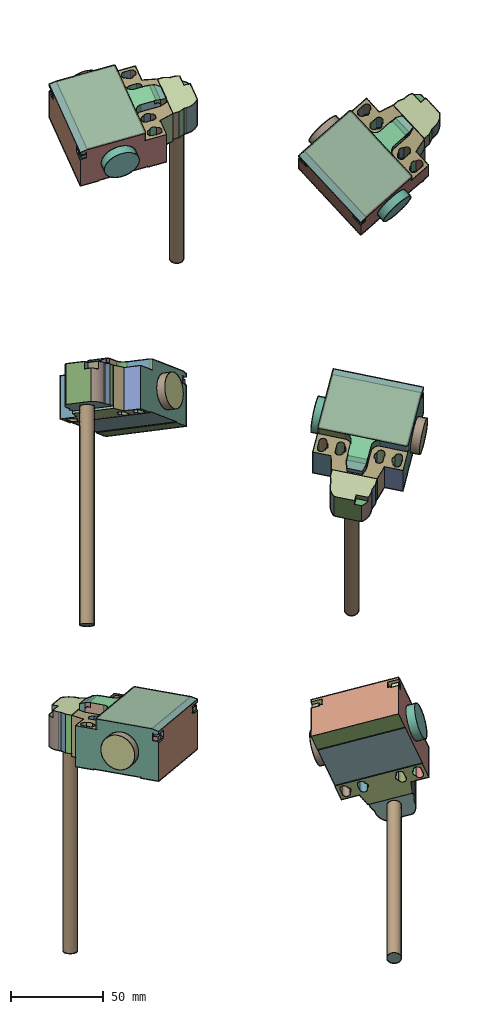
import cadquery as cq

HOUSING_WIDTH = 50.0
HOUSING_HEIGHT = 30.0
BODY_DEPTH = 37.7
FLANGE_TOP = 24.0
FLANGE_DEPTH = 49.4
NECK_BASE_WIDTH = 29.5
NECK_END_WIDTH = 25.3
NECK_DEPTH = 57.5
STEP_CORNER_RADIUS = 1.0

FRONT_BEVEL_DEPTH = 4.0
FRONT_BEVEL_DROP = 0.9
RIM_INSET = 0.07
RIM_DROP = 0.6

TONGUE_WIDTH = 11.2
TONGUE_ROOT_RADIUS = 4.0
TONGUE_TAPER_START = 52.8
TONGUE_END = 56.7
TONGUE_END_WIDTH = 8.5
TONGUE_SLOPE_START = 50.3
TONGUE_KNEE_DROP = 0.6
TONGUE_END_DROP = 2.5
GRIP_START = 49.4
GRIP_CORNER = 51.5
GRIP_HEIGHT = 2.7
GRIP_LOW_HEIGHT = 4.0
GRIP_RECESS = 0.1

SLOT_WIDTH = 4.3
SLOT_LENGTH = 8.1
SLOT_Y = 44.0
SLOT_XS = (11.0, 21.0)
BULGE_OFFSET = 1.0

BOSS_DIAMETER = 20.0
BOSS_SPAN = 60.0
BOSS_LENGTH = (BOSS_SPAN - HOUSING_WIDTH) / 2
BOSS_Y = 22.0
BOSS_Z = 15.0

RECESS_START = 10.8
RECESS_END = 38.6
RECESS_DEPTH = 0.5

NOTCH_WIDTH = 6.3
NOTCH_DEPTH = 3.6
NOTCH_TOP = HOUSING_HEIGHT - 2.7
NOTCH_BOTTOM = HOUSING_HEIGHT - 6.9
LIP_TOOTH_DROP = 0.9
LIP_TOOTH_Y = 2.7
LATCH_WIDTH = 4.3
LATCH_SETBACK = 0.6
LATCH_TOP = HOUSING_HEIGHT - 4.3
LATCH_SIDE_INSET = 0.3
SILL_DROP = 0.6

HEAD_BOTTOM = 1.3
HEAD_BACK = 73.2
HEAD_WIDTH = 25.0
HEAD_SHOULDER_WIDTH = 22.6
HEAD_BACK_WIDTH = 15.3
HEAD_TAPER_START = 61.0
HEAD_TAPER_END = 64.2
HEAD_ARC_START = 65.7
HEAD_ARC_RADIUS = 9.5
HEAD_NOTCH_DEPTH = 3.6
HEAD_NOTCH_HEIGHT = 4.2
HEAD_NOTCH_INNER_X = -3.7

ROD_DIAMETER = 8.0
ROD_Y = 64.0
OVERALL_HEIGHT = 149.6
ROD_BOTTOM = HOUSING_HEIGHT - OVERALL_HEIGHT


def box(x_range, y_range, z_range):
    """Box between the given limits along each axis."""
    size = [high - low for low, high in (x_range, y_range, z_range)]
    corner = (x_range[0], y_range[0], z_range[0])
    return cq.Workplane("XY").box(*size, centered=False).translate(corner)


def prism_along_x(points, x_start, x_end):
    """Extrude a (Y, Z) outline between two X positions."""
    return cq.Workplane("YZ").workplane(offset=x_start).polyline(points).close().extrude(x_end - x_start)


def both_sides(shape):
    """A shape together with its mirror image across the middle plane X = 0."""
    return shape.union(shape.mirror("YZ"))


def make_base():
    """Low layer of the housing, with the tapering neck."""
    half = HOUSING_WIDTH / 2
    outline = [
        (-half, 0),
        (half, 0),
        (half, FLANGE_DEPTH),
        (NECK_BASE_WIDTH / 2, FLANGE_DEPTH),
        (NECK_END_WIDTH / 2, NECK_DEPTH),
        (-NECK_END_WIDTH / 2, NECK_DEPTH),
        (-NECK_BASE_WIDTH / 2, FLANGE_DEPTH),
        (-half, FLANGE_DEPTH),
    ]
    return cq.Workplane("XY").polyline(outline).close().extrude(FLANGE_TOP)


def make_block():
    """Full-height part in front of the step, with its front bevel."""
    half = HOUSING_WIDTH / 2
    block = box((-half, half), (0, BODY_DEPTH), (0, HOUSING_HEIGHT))
    block = block.edges("|Z and >Y").fillet(STEP_CORNER_RADIUS)
    bevel = [
        (0, HOUSING_HEIGHT),
        (0, HOUSING_HEIGHT - FRONT_BEVEL_DROP),
        (FRONT_BEVEL_DEPTH, HOUSING_HEIGHT),
    ]
    block = block.cut(prism_along_x(bevel, -half, half))
    return block.faces(">Z").edges("not <Y").chamfer(RIM_DROP, RIM_INSET)


def make_tongue():
    """Raised tongue with filleted root, tapered and sloping end and grip recesses."""
    half = TONGUE_WIDTH / 2
    root_half = half + TONGUE_ROOT_RADIUS
    root_y = BODY_DEPTH + TONGUE_ROOT_RADIUS
    root_start = BODY_DEPTH - RIM_INSET
    tongue = (
        cq.Workplane("XY")
        .workplane(offset=FLANGE_TOP)
        .moveTo(-root_half, root_start)
        .lineTo(root_half, root_start)
        .lineTo(root_half, BODY_DEPTH)
        .radiusArc((half, root_y), TONGUE_ROOT_RADIUS)
        .lineTo(half, TONGUE_TAPER_START)
        .lineTo(TONGUE_END_WIDTH / 2, TONGUE_END)
        .lineTo(-TONGUE_END_WIDTH / 2, TONGUE_END)
        .lineTo(-half, TONGUE_TAPER_START)
        .lineTo(-half, root_y)
        .radiusArc((-root_half, BODY_DEPTH), TONGUE_ROOT_RADIUS)
        .close()
        .extrude(HOUSING_HEIGHT - FLANGE_TOP)
    )
    slope = [
        (TONGUE_SLOPE_START, HOUSING_HEIGHT),
        (TONGUE_END, HOUSING_HEIGHT),
        (TONGUE_END, HOUSING_HEIGHT - TONGUE_END_DROP),
        (TONGUE_TAPER_START, HOUSING_HEIGHT - TONGUE_KNEE_DROP),
    ]
    grip = [
        (GRIP_START, HOUSING_HEIGHT),
        (GRIP_START, HOUSING_HEIGHT - GRIP_HEIGHT),
        (GRIP_CORNER, HOUSING_HEIGHT - GRIP_HEIGHT),
        (TONGUE_TAPER_START, HOUSING_HEIGHT - GRIP_LOW_HEIGHT),
        (TONGUE_TAPER_START, HOUSING_HEIGHT),
    ]
    tongue = tongue.cut(prism_along_x(slope, -half, half))
    return tongue.cut(both_sides(prism_along_x(grip, half - GRIP_RECESS, half)))


def make_mounting_hole(x):
    """Cutter for one mounting hole, centred at X = x, bulging towards X = 0."""
    slot = cq.Workplane("XY").center(x, SLOT_Y).slot2D(SLOT_LENGTH, SLOT_WIDTH, 90).extrude(FLANGE_TOP)
    bulge = cq.Workplane("XY").center(x - BULGE_OFFSET, SLOT_Y).circle(SLOT_WIDTH / 2).extrude(FLANGE_TOP)
    return slot.union(bulge)


def make_boss():
    """Round boss on the +X side."""
    return (
        cq.Workplane("YZ")
        .workplane(offset=HOUSING_WIDTH / 2)
        .center(BOSS_Y, BOSS_Z)
        .circle(BOSS_DIAMETER / 2)
        .extrude(BOSS_LENGTH)
    )


def make_latch_notch():
    """Cutter for the +X corner notch: leaves a lip tooth, a latch block and a ramp, cuts a sill."""
    outer = HOUSING_WIDTH / 2
    inner = outer - NOTCH_WIDTH
    latch_inner = outer - LATCH_WIDTH
    notch = box((inner, outer), (0, NOTCH_DEPTH), (NOTCH_BOTTOM, NOTCH_TOP))
    tooth = [
        (0, NOTCH_TOP),
        (LIP_TOOTH_Y, NOTCH_TOP - LIP_TOOTH_DROP),
        (NOTCH_DEPTH, NOTCH_TOP),
    ]
    ramp = [
        (0, NOTCH_BOTTOM),
        (NOTCH_DEPTH, NOTCH_BOTTOM),
        (NOTCH_DEPTH, LATCH_TOP),
    ]
    sill = [
        (0, NOTCH_BOTTOM),
        (LATCH_SETBACK, NOTCH_BOTTOM),
        (0, NOTCH_BOTTOM - SILL_DROP),
    ]
    latch = box(
        (latch_inner, outer - LATCH_SIDE_INSET),
        (LATCH_SETBACK, NOTCH_DEPTH),
        (NOTCH_BOTTOM, LATCH_TOP),
    )
    notch = notch.cut(prism_along_x(tooth, inner, outer))
    notch = notch.cut(prism_along_x(ramp, inner, latch_inner))
    notch = notch.cut(latch)
    return notch.union(prism_along_x(sill, latch_inner, outer))


def make_housing():
    half = HOUSING_WIDTH / 2
    housing = make_base().union(make_block()).union(make_tongue())
    for x in SLOT_XS:
        housing = housing.cut(both_sides(make_mounting_hole(x)))
    housing = housing.cut(box((-half, half), (RECESS_START, RECESS_END), (0, RECESS_DEPTH)))
    housing = housing.cut(both_sides(make_latch_notch()))
    return housing.union(both_sides(make_boss()))


def make_head():
    """Head with tapered shoulders, rounded back corners and one notched corner."""
    half = HEAD_WIDTH / 2
    shoulder_half = HEAD_SHOULDER_WIDTH / 2
    back_half = HEAD_BACK_WIDTH / 2
    head = (
        cq.Workplane("XY")
        .workplane(offset=HEAD_BOTTOM)
        .moveTo(-half, NECK_DEPTH)
        .lineTo(half, NECK_DEPTH)
        .lineTo(half, HEAD_TAPER_START)
        .lineTo(shoulder_half, HEAD_TAPER_END)
        .lineTo(shoulder_half, HEAD_ARC_START)
        .radiusArc((back_half, HEAD_BACK), -HEAD_ARC_RADIUS)
        .lineTo(-back_half, HEAD_BACK)
        .radiusArc((-shoulder_half, HEAD_ARC_START), -HEAD_ARC_RADIUS)
        .lineTo(-shoulder_half, HEAD_TAPER_END)
        .lineTo(-half, HEAD_TAPER_START)
        .close()
        .extrude(FLANGE_TOP - HEAD_BOTTOM)
    )
    notch = box(
        (-half, HEAD_NOTCH_INNER_X),
        (HEAD_BACK - HEAD_NOTCH_DEPTH, HEAD_BACK),
        (FLANGE_TOP - HEAD_NOTCH_HEIGHT, FLANGE_TOP),
    )
    return head.cut(notch)


def make_rod():
    return (
        cq.Workplane("XY")
        .workplane(offset=ROD_BOTTOM)
        .center(0, ROD_Y)
        .circle(ROD_DIAMETER / 2)
        .extrude(HEAD_BOTTOM - ROD_BOTTOM)
    )


housing = make_housing()
head = make_head()
rod = make_rod()

result = cq.Compound.makeCompound([housing.val(), head.val(), rod.val()])